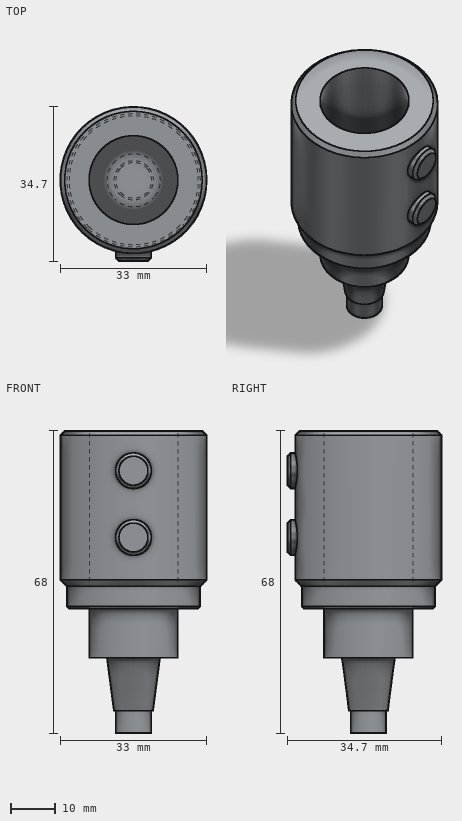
import cadquery as cq

total_height = 68.0
body_diameter = 33.0
collar_diameter = 30.0
shank_diameter = 20.0
cone_top_diameter = 12.0
cone_bottom_diameter = 8.85
tip_diameter = 8.0

tip_top = 5.0
cone_top = 16.9
shank_top = 28.0
collar_top = 33.0

body_top_chamfer = 1.0
body_bottom_chamfer = (body_diameter - collar_diameter) / 2
collar_chamfer = 0.5

bore_diameter = shank_diameter
bore_depth = total_height - collar_top

screw_diameter = 8.0
screw_reach = 18.2
screw_chamfer = 0.75
screw_heights = (59.0, 44.0)


def cylinder(diameter, bottom, top):
    return cq.Workplane("XY").workplane(offset=bottom).circle(diameter / 2).extrude(top - bottom)


def make_holder():
    body = cylinder(body_diameter, collar_top, total_height)
    body = body.faces(">Z").chamfer(body_top_chamfer)
    body = body.faces("<Z").chamfer(body_bottom_chamfer)
    collar = cylinder(collar_diameter, shank_top, collar_top).faces("<Z").chamfer(collar_chamfer)
    shank = cylinder(shank_diameter, cone_top, shank_top)
    return body.union(collar).union(shank)


def make_nose():
    tip = cylinder(tip_diameter, 0, tip_top)
    cone = (
        cq.Workplane("XY")
        .workplane(offset=tip_top)
        .circle(cone_bottom_diameter / 2)
        .workplane(offset=cone_top - tip_top)
        .circle(cone_top_diameter / 2)
        .loft(ruled=True)
    )
    return tip.union(cone)


def make_screw(height):
    return (
        cq.Workplane("XZ")
        .center(0, height)
        .circle(screw_diameter / 2)
        .extrude(screw_reach)
        .faces("<Y")
        .chamfer(screw_chamfer)
    )


result = make_holder().union(make_nose())
for screw_height in screw_heights:
    result = result.union(make_screw(screw_height))

result = result.cut(cylinder(bore_diameter, total_height - bore_depth, total_height))